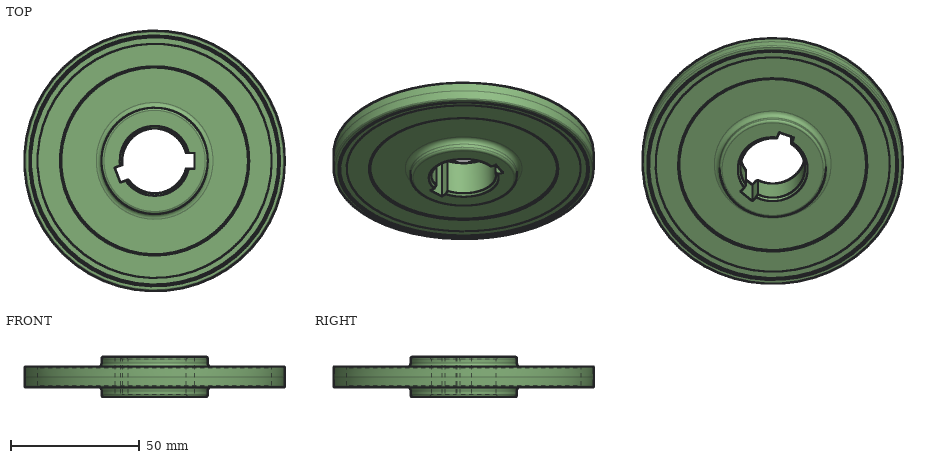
import cadquery as cq

boss_radius = 20.7
boss_half_height = 7.9
boss_edge_fillet = 1.0
boss_root_fillet = 2.0
plate_radius = 45.6
plate_half_thickness = 3.5
bore_radius = 12.6
bore_chamfer = 1.0
keyway_width = 6.1
keyway_reach = 15.4
keyway_angles = (0, 201)

match_tolerance = 0.01

tyre_radius = 50.8
tyre_half_width = 4.1
tyre_edge_fillet = 0.5
tread_draft = 0.1
rim_inner_radius = 48.9
rim_slope_width = 0.7
cover_half_thickness = 3.8
cover_outer_radius = rim_inner_radius - rim_slope_width
cover_inner_radius = 36.4
cover_slope_width = 0.5


def disc(radius, half_height):
    """Cylinder about Z, centred on the XY plane."""
    return cq.Workplane("XY").circle(radius).extrude(half_height, both=True)


def keyway(angle):
    """Keyway cutter running from the bore axis outwards, through the full height."""
    return (
        cq.Workplane("XY")
        .box(keyway_reach, keyway_width, 2 * boss_half_height, centered=(False, True, True))
        .rotate((0, 0, 0), (0, 0, 1), angle)
    )


def make_hub():
    boss = disc(boss_radius, boss_half_height).faces("<Z or >Z").edges().fillet(boss_edge_fillet)
    hub = disc(plate_radius, plate_half_thickness).union(boss)

    root_edges = []
    for edge in hub.edges("%CIRCLE").vals():
        on_plate_face = abs(abs(edge.Center().z) - plate_half_thickness) < match_tolerance
        if on_plate_face and abs(edge.radius() - boss_radius) < match_tolerance:
            root_edges.append(edge)
    hub = hub.newObject(root_edges).fillet(boss_root_fillet)

    bore = disc(bore_radius, boss_half_height)
    hub = hub.cut(bore)
    bore_edges = hub.faces("<Z or >Z").edges(cq.selectors.RadiusNthSelector(0))
    hub = bore_edges.chamfer(bore_chamfer)

    for angle in keyway_angles:
        hub = hub.cut(keyway(angle))
    return hub


def make_tyre():
    upper_points = [
        (plate_radius, plate_half_thickness),
        (cover_inner_radius, plate_half_thickness),
        (cover_inner_radius + cover_slope_width, cover_half_thickness),
        (cover_outer_radius, cover_half_thickness),
        (rim_inner_radius, tyre_half_width),
        (tyre_radius - tread_draft, tyre_half_width),
    ]
    parting_line = (tyre_radius, 0)
    lower_points = [(radius, -height) for radius, height in reversed(upper_points)]
    section = cq.Workplane("XZ").polyline(upper_points + [parting_line] + lower_points).close()
    tyre = section.revolve(360, (0, 0, 0), (0, 1, 0))
    outer_edges = tyre.faces("<Z or >Z").edges(cq.selectors.RadiusNthSelector(-1))
    return outer_edges.fillet(tyre_edge_fillet)


hub = make_hub()
tyre = make_tyre()

result = cq.Compound.makeCompound([hub.val(), tyre.val()])